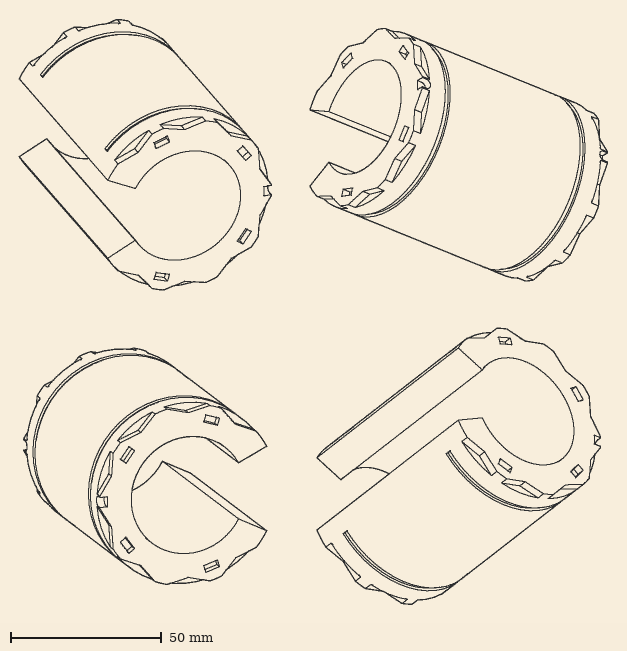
import cadquery as cq
import math

length = 80.0
outer_diameter = 62.0
outer_radius = outer_diameter / 2
bore_radius = 20.0
mouth_inner_half_height = 9.6
mouth_outer_half_height = 14.5

notch_depth = 3.0
notch_valley_radius = 28.2
notch_pitch = 36.0
notch_half_angle = 14.0
notch_count = 8
first_notch_angle = 1.5 * notch_pitch

groove_start = 9.8
groove_width = 2.1
groove_radius = 30.0
groove_end_angle = first_notch_angle - notch_half_angle

pocket_width = 5.0
pocket_height = 2.5
pocket_radius = 26.3
pocket_depth = 2.9
pocket_angles = [sign * step * notch_pitch for step in (2, 4) for sign in (1, -1)]

key_length = 3.4
key_width = 3.4
key_floor_radius = 28.3

cut_margin = 4.0


def polar(radius, angle):
    """Point (Y, Z) in the cross-section; the angle is measured from -Y toward +Z."""
    radians = math.radians(angle)
    return (-radius * math.cos(radians), radius * math.sin(radians))


def section(x):
    return cq.Workplane("YZ", origin=(x, 0, 0))


def opening():
    inner_y = -math.sqrt(bore_radius**2 - mouth_inner_half_height**2)
    outer_y = -math.sqrt(outer_radius**2 - mouth_outer_half_height**2)
    slope = (mouth_outer_half_height - mouth_inner_half_height) / (inner_y - outer_y)
    apex_y = inner_y + mouth_inner_half_height / slope
    far_y = -outer_radius - cut_margin
    far_z = (apex_y - far_y) * slope
    wedge = [(apex_y, 0), (far_y, far_z), (far_y, -far_z)]
    return section(0).polyline(wedge).close().extrude(length)


def sleeve():
    tube = section(0).circle(outer_radius).circle(bore_radius).extrude(length)
    return tube.cut(opening())


def end_notch(x, angle):
    reach = outer_radius + cut_margin
    outline = [
        polar(notch_valley_radius, angle),
        polar(outer_radius, angle - notch_half_angle),
        polar(reach, angle - notch_half_angle),
        polar(reach, angle + notch_half_angle),
        polar(outer_radius, angle + notch_half_angle),
    ]
    return section(x).polyline(outline).close().extrude(notch_depth)


def ring_groove(x):
    reach = outer_radius + cut_margin
    return (
        section(x)
        .moveTo(*polar(groove_radius, groove_end_angle))
        .threePointArc(polar(groove_radius, 180), polar(groove_radius, -groove_end_angle))
        .lineTo(*polar(reach, -groove_end_angle))
        .threePointArc(polar(reach, 180), polar(reach, groove_end_angle))
        .close()
        .extrude(groove_width)
    )


def end_pocket(x, angle):
    return (
        section(x)
        .center(-pocket_radius, 0)
        .rect(pocket_height, pocket_width)
        .extrude(pocket_depth)
        .rotate((0, 0, 0), (1, 0, 0), -angle)
    )


def key_slot(x):
    return (
        cq.Workplane("XZ", origin=(x, key_floor_radius, 0))
        .slot2D(2 * key_length, key_width)
        .extrude(key_floor_radius - outer_radius - cut_margin)
    )


result = sleeve()

for x in (0, length - notch_depth):
    for i in range(notch_count):
        result = result.cut(end_notch(x, first_notch_angle + i * notch_pitch))

for x in (groove_start, length - groove_start - groove_width):
    result = result.cut(ring_groove(x))

for x in (0, length - pocket_depth):
    for angle in pocket_angles:
        result = result.cut(end_pocket(x, angle))

for x in (0, length):
    result = result.cut(key_slot(x))